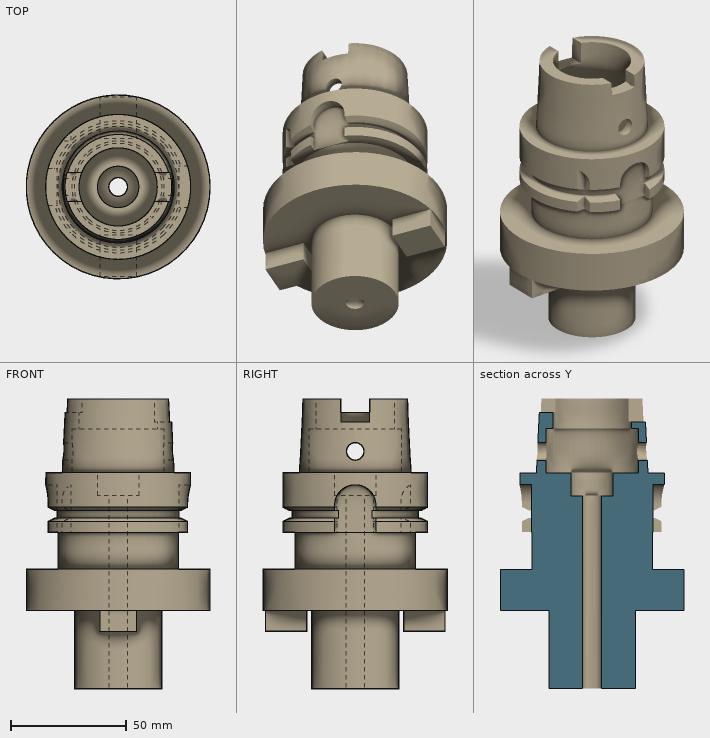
import cadquery as cq

spigot_bottom_z = -94.0
key_bottom_z = -69.0
flange_bottom_z = -60.0
flange_top_z = -42.0
collar_bottom_z = -26.0
gauge_z = 0.0
shank_top_z = 32.0

spigot_radius = 19.0
flange_radius = 40.0
neck_radius = 26.3
collar_radius = 31.5
taper_base_radius = 24.35
taper_top_radius = 22.8

groove_center_z = -18.15
groove_radius = 27.5
groove_step_radius = 28.7
groove_mouth_width = 6.3
groove_floor_width = 3.3

land_radius = 17.0
land_depth = 13.0
undercut_radius = 20.0
clamp_bore_depth = 32.0
stop_bore_radius = 9.0
stop_bore_depth = 42.0
through_radius = 4.0

notch_width = 12.5
shallow_notch_depth = 5.8
deep_notch_depth = 10.0

cross_hole_diameter = 7.5
cross_hole_z = 9.2

slot_top_z = -5.3
slot_floor_x = 26.5
left_slot_width = 16.0
right_slot_width = 18.0

orientation_floor_x = 20.5
orientation_wall_y = 19.9
orientation_width = 16.0
orientation_top_z = -4.3

key_width = 16.0
key_length = 18.0
key_outer_y = 39.0


def make_body():
    """Revolve the complete outside profile about Z."""
    lower_mouth_z = groove_center_z - groove_mouth_width / 2
    upper_mouth_z = groove_center_z + groove_mouth_width / 2
    lower_floor_z = groove_center_z - groove_floor_width / 2
    upper_floor_z = groove_center_z + groove_floor_width / 2
    profile = [
        (0, spigot_bottom_z),
        (spigot_radius, spigot_bottom_z),
        (spigot_radius, flange_bottom_z),
        (flange_radius, flange_bottom_z),
        (flange_radius, flange_top_z),
        (neck_radius, flange_top_z),
        (neck_radius, collar_bottom_z),
        (collar_radius, collar_bottom_z),
        (collar_radius, lower_mouth_z),
        (groove_step_radius, lower_floor_z),
        (groove_radius, lower_floor_z),
        (groove_radius, upper_floor_z),
        (groove_step_radius, upper_floor_z),
        (collar_radius, upper_mouth_z),
        (collar_radius, gauge_z),
        (taper_base_radius, gauge_z),
        (taper_top_radius, shank_top_z),
        (0, shank_top_z),
    ]
    return cq.Workplane("XZ").polyline(profile).close().revolve(360, (0, 0, 0), (0, 1, 0))


def make_bore():
    """Revolve the stepped bore, including the undercut below the clamping land."""
    land_bottom_z = shank_top_z - land_depth
    clamp_bottom_z = shank_top_z - clamp_bore_depth
    stop_bottom_z = shank_top_z - stop_bore_depth
    profile = [
        (0, spigot_bottom_z),
        (through_radius, spigot_bottom_z),
        (through_radius, stop_bottom_z),
        (stop_bore_radius, stop_bottom_z),
        (stop_bore_radius, clamp_bottom_z),
        (undercut_radius, clamp_bottom_z),
        (undercut_radius, land_bottom_z),
        (land_radius, land_bottom_z),
        (land_radius, shank_top_z),
        (0, shank_top_z),
    ]
    return cq.Workplane("XZ").polyline(profile).close().revolve(360, (0, 0, 0), (0, 1, 0))


def make_drive_notch(side, depth):
    """Notch across the shank wall on the -X (side = -1) or +X (side = 1) side."""
    return (
        cq.Workplane("XY")
        .box(flange_radius, notch_width, depth, centered=(True, True, False))
        .translate((side * flange_radius / 2, 0, shank_top_z - depth))
    )


def make_cross_hole():
    """Hole along X through both walls of the taper."""
    return (
        cq.Workplane("YZ")
        .center(0, cross_hole_z)
        .circle(cross_hole_diameter / 2)
        .extrude(flange_radius, both=True)
    )


def make_collar_slot(side, floor_x, center_y, width, top_z):
    """Slot open at the collar underside, with a semicircular top and a flat floor normal to X."""
    radius = width / 2
    arc_center_z = top_z - radius
    return (
        cq.Workplane("YZ", origin=(side * floor_x, center_y, 0))
        .moveTo(-radius, collar_bottom_z)
        .lineTo(-radius, arc_center_z)
        .threePointArc((0, top_z), (radius, arc_center_z))
        .lineTo(radius, collar_bottom_z)
        .close()
        .extrude(side * flange_radius)
    )


def make_key(side):
    """Driving key under the flange on the -Y (side = -1) or +Y (side = 1) side."""
    height = flange_bottom_z - key_bottom_z
    center_y = side * (key_outer_y - key_length / 2)
    return (
        cq.Workplane("XY")
        .box(key_width, key_length, height, centered=(True, True, False))
        .translate((0, center_y, key_bottom_z))
    )


result = make_body().cut(make_bore())
result = result.cut(make_drive_notch(-1, shallow_notch_depth))
result = result.cut(make_drive_notch(1, deep_notch_depth))
result = result.cut(make_cross_hole())
result = result.cut(make_collar_slot(-1, slot_floor_x, 0, left_slot_width, slot_top_z))
result = result.cut(make_collar_slot(1, slot_floor_x, 0, right_slot_width, slot_top_z))

orientation_center_y = orientation_wall_y + orientation_width / 2
result = result.cut(
    make_collar_slot(-1, orientation_floor_x, orientation_center_y, orientation_width, orientation_top_z)
)

for key_side in (-1, 1):
    result = result.union(make_key(key_side))